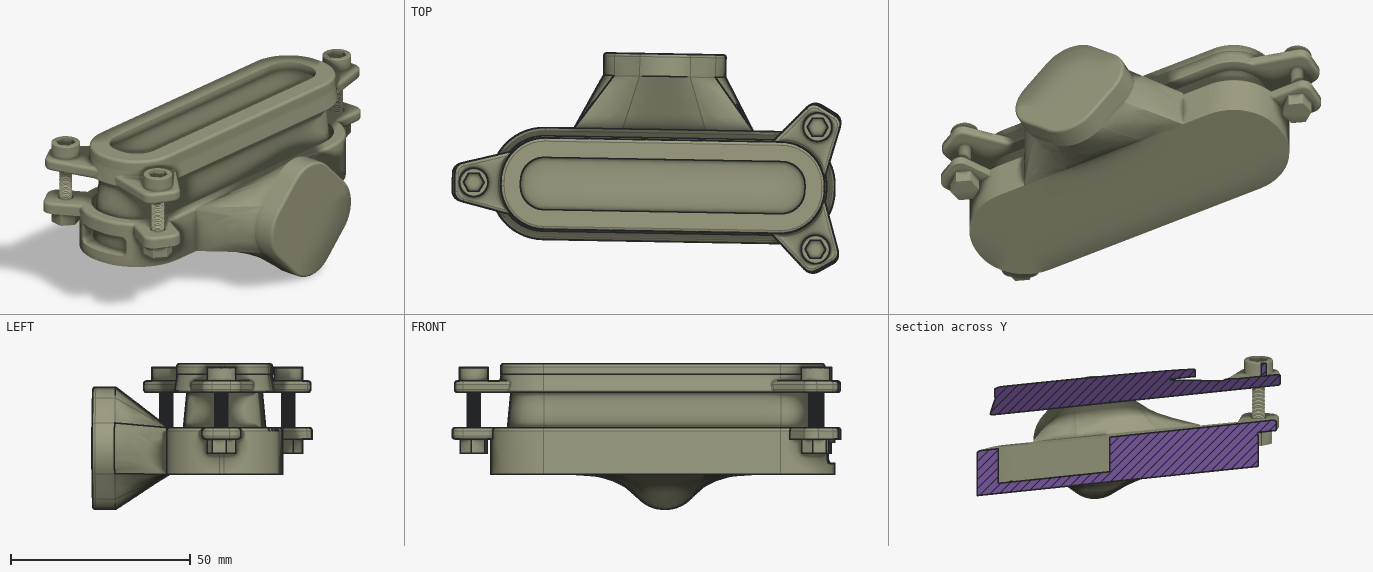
import cadquery as cq
import math

ASSEMBLY_TURN = -1.0
CORNER_X = 33.1
END_FLAT = 1.3
BOLT_RADIUS = 19.7
BOLT_ANGLES = (180, 60, -60)

HOUSING_HEIGHT = 13.05
HOUSING_FLOOR = 3.05
COVER_BOTTOM = 22.9
COVER_SKIRT_HEIGHT = 5.0
COVER_RIM_HEIGHT = 3.02
TAB_THICKNESS = 3.2
EDGE_RADIUS = 0.9
LEVEL_TOLERANCE = 0.001

HOUSING_HALF_WIDTH = 15.65
CAVITY_HALF_WIDTH = 12.35
SEAL_BOTTOM_HALF_WIDTH = 11.85
SEAL_TOP_HALF_WIDTH = 9.95
SKIRT_BOTTOM_HALF_WIDTH = 13.4
SKIRT_TOP_HALF_WIDTH = 12.65
RIM_HALF_WIDTH = 12.8
POCKET_HALF_WIDTH = 7.3
POCKET_DEPTH = 2.5

TAB_ROOT = 6.0
TAB_CORNER_RADIUS = 3.0
TAB_ROOT_RADIUS = 0.6
COVER_TAB_REACH = 5.3
COVER_TAB_TIP_HALF_WIDTH = 4.9
COVER_TAB_FLARE = 14.0
HOUSING_LEFT_TAB_REACH = 5.95
HOUSING_RIGHT_TAB_REACH = 5.85
HOUSING_TAB_HALF_WIDTH = 5.35
BOLT_HOLE_DIAMETER = 4.4

WINDOW_WIDTH = 16.3
WINDOW_HEIGHT = 5.9
WINDOW_CORNER_RADIUS = 1.5

SPOUT_BASE_HALF_WIDTH = 25.0
SPOUT_BASE_BREAK = 11.6
SPOUT_CENTRE_Z = 7.3
COLLAR_SIDE = 30.0
COLLAR_CORNER_RADIUS = 10.0
COLLAR_START_Y = 30.5
COLLAR_END_Y = 36.8
COLLAR_EDGE_RADIUS = 0.8

HEAD_DIAMETER = 8.0
HEAD_HEIGHT = 3.8
HEAD_EDGE_RADIUS = 0.25
SOCKET_CORNER_DIAMETER = 5.8
SOCKET_DEPTH = 2.5
THREAD_DIAMETER = 3.6
THREAD_PITCH = 0.4
THREAD_DEPTH = 0.25
NUT_CORNER_DIAMETER = 8.08
NUT_THICKNESS = 4.0
NUT_TURN = 21.0


def oblong(half_width, z):
    """Oblong outline at height z; all outlines share the same corner centres."""
    corner_radius = half_width - END_FLAT / 2
    half_length = CORNER_X + corner_radius
    sketch = cq.Sketch().rect(2 * half_length, 2 * half_width).vertices().fillet(corner_radius)
    return cq.Workplane("XY").workplane(offset=z).placeSketch(sketch)


def tapered_oblong(bottom_half_width, top_half_width, z, height):
    taper = math.degrees(math.atan2(bottom_half_width - top_half_width, height))
    return oblong(bottom_half_width, z).extrude(height, taper=taper)


def end_centre(angle):
    return math.copysign(CORNER_X, math.cos(math.radians(angle)))


def place_at_end(shape, angle):
    """Move a shape built along +X from the origin onto its rounded end."""
    return shape.rotate((0, 0, 0), (0, 0, 1), angle).translate((end_centre(angle), 0, 0))


def tab(reach, tip_half_width, flare, bottom_z, rounded_faces):
    """Lug along +X with rounded tip corners, rounded rims."""
    tip = BOLT_RADIUS + reach
    root_half_width = tip_half_width + (tip - TAB_ROOT) * math.tan(math.radians(flare))
    outline = [
        (TAB_ROOT, -root_half_width),
        (tip, -tip_half_width),
        (tip, tip_half_width),
        (TAB_ROOT, root_half_width),
    ]
    lug = cq.Workplane("XY").workplane(offset=bottom_z).polyline(outline).close().extrude(TAB_THICKNESS)
    lug = lug.edges("|Z and >X").fillet(TAB_CORNER_RADIUS)
    for face in rounded_faces:
        lug = lug.faces(face).edges().fillet(EDGE_RADIUS)
    return lug


def bolt_holes(bottom_z, height):
    holes = cq.Workplane("XY")
    for angle in BOLT_ANGLES:
        hole = cq.Workplane("XY").workplane(offset=bottom_z).center(BOLT_RADIUS, 0)
        hole = hole.circle(BOLT_HOLE_DIAMETER / 2).extrude(height)
        holes = holes.add(place_at_end(hole, angle))
    return holes.combine()


def collar_wire(y):
    """Square on its corner, rounded, in the plane at y; eight edges from the right arc on."""
    side_reach = (COLLAR_SIDE / 2 - COLLAR_CORNER_RADIUS) * math.sqrt(2)
    lean = COLLAR_CORNER_RADIUS / math.sqrt(2)
    far = side_reach + lean
    crown = side_reach + COLLAR_CORNER_RADIUS

    def point(x, z):
        return cq.Vector(x, y, SPOUT_CENTRE_Z + z)

    arc = cq.Edge.makeThreePointArc
    line = cq.Edge.makeLine
    return cq.Wire.assembleEdges([
        arc(point(far, -lean), point(crown, 0), point(far, lean)),
        line(point(far, lean), point(lean, far)),
        arc(point(lean, far), point(0, crown), point(-lean, far)),
        line(point(-lean, far), point(-far, lean)),
        arc(point(-far, lean), point(-crown, 0), point(-far, -lean)),
        line(point(-far, -lean), point(-lean, -far)),
        arc(point(-lean, -far), point(0, -crown), point(lean, -far)),
        line(point(lean, -far), point(far, -lean)),
    ])


def spout_base_wire(y):
    """Rectangle on the housing wall, split to match the eight edges of the collar."""
    corners = [
        (SPOUT_BASE_HALF_WIDTH, 0),
        (SPOUT_BASE_HALF_WIDTH, HOUSING_HEIGHT),
        (SPOUT_BASE_BREAK, HOUSING_HEIGHT),
        (-SPOUT_BASE_BREAK, HOUSING_HEIGHT),
        (-SPOUT_BASE_HALF_WIDTH, HOUSING_HEIGHT),
        (-SPOUT_BASE_HALF_WIDTH, 0),
        (-SPOUT_BASE_BREAK, 0),
        (SPOUT_BASE_BREAK, 0),
    ]
    return cq.Wire.makePolygon([cq.Vector(x, y, z) for x, z in corners], close=True)


def spout():
    funnel = cq.Solid.makeLoft([spout_base_wire(HOUSING_HALF_WIDTH), collar_wire(COLLAR_START_Y)], True)
    collar_length = COLLAR_END_Y - COLLAR_START_Y
    collar = cq.Solid.extrudeLinear(collar_wire(COLLAR_START_Y), [], cq.Vector(0, collar_length, 0))
    collar = cq.Workplane(collar).faces(">Y").edges().fillet(COLLAR_EDGE_RADIUS)
    return collar.union(cq.Workplane(funnel))


def end_window():
    """Rounded rectangular cutter through the +X end wall, standing on the cavity floor."""
    window = cq.Workplane("XY").box(
        HOUSING_HALF_WIDTH, WINDOW_WIDTH, WINDOW_HEIGHT, centered=(False, True, False)
    )
    window = window.edges("|X").fillet(WINDOW_CORNER_RADIUS)
    return window.translate((CORNER_X, 0, HOUSING_FLOOR))


def build_housing():
    body = oblong(HOUSING_HALF_WIDTH, 0).extrude(HOUSING_HEIGHT)
    body = body.faces(">Z").edges().fillet(EDGE_RADIUS)
    tab_bottom = HOUSING_HEIGHT - TAB_THICKNESS
    for angle in BOLT_ANGLES:
        is_left = angle == 180
        reach = HOUSING_LEFT_TAB_REACH if is_left else HOUSING_RIGHT_TAB_REACH
        rounded_faces = (">Z", "<Z") if is_left else (">Z",)
        lug = tab(reach, HOUSING_TAB_HALF_WIDTH, 0, tab_bottom, rounded_faces)
        body = body.union(place_at_end(lug, angle))
    body = body.union(spout())
    cavity = oblong(CAVITY_HALF_WIDTH, HOUSING_FLOOR).extrude(HOUSING_HEIGHT - HOUSING_FLOOR)
    body = body.cut(cavity).cut(end_window())
    return body.cut(bolt_holes(tab_bottom, TAB_THICKNESS))


def build_seal():
    height = COVER_BOTTOM - HOUSING_FLOOR
    return tapered_oblong(SEAL_BOTTOM_HALF_WIDTH, SEAL_TOP_HALF_WIDTH, HOUSING_FLOOR, height)


def is_tab_root(edge):
    """True for the edges where the top of a cover tab meets the skirt wall."""
    box = edge.BoundingBox()
    tab_top = COVER_BOTTOM + TAB_THICKNESS
    lies_on_top = max(abs(box.zmin - tab_top), abs(box.zmax - tab_top)) < LEVEL_TOLERANCE
    middle = edge.Center()
    end_distance = math.hypot(abs(middle.x) - CORNER_X, middle.y)
    return lies_on_top and end_distance < SKIRT_BOTTOM_HALF_WIDTH


def build_cover():
    rim_bottom = COVER_BOTTOM + COVER_SKIRT_HEIGHT
    rim_top = rim_bottom + COVER_RIM_HEIGHT
    skirt = tapered_oblong(
        SKIRT_BOTTOM_HALF_WIDTH, SKIRT_TOP_HALF_WIDTH, COVER_BOTTOM, COVER_SKIRT_HEIGHT
    )
    skirt = skirt.faces("<Z").edges().fillet(EDGE_RADIUS / 2)
    for angle in BOLT_ANGLES:
        lug = tab(COVER_TAB_REACH, COVER_TAB_TIP_HALF_WIDTH, COVER_TAB_FLARE, COVER_BOTTOM, (">Z", "<Z"))
        skirt = skirt.union(place_at_end(lug, angle))
    skirt = skirt.edges().filter(is_tab_root).fillet(TAB_ROOT_RADIUS)
    rim = oblong(RIM_HALF_WIDTH, rim_bottom).extrude(COVER_RIM_HEIGHT)
    rim = rim.faces(">Z").edges().fillet(EDGE_RADIUS)
    pocket = oblong(POCKET_HALF_WIDTH, rim_top - POCKET_DEPTH).extrude(POCKET_DEPTH)
    cover = skirt.union(rim).cut(pocket)
    return cover.cut(bolt_holes(COVER_BOTTOM, TAB_THICKNESS))


def threaded_shank(bottom_z, top_z):
    """Shank with a stack of V ridges."""
    crest = THREAD_DIAMETER / 2
    root = crest - THREAD_DEPTH
    ridge_count = round((top_z - bottom_z) / THREAD_PITCH)
    pitch = (top_z - bottom_z) / ridge_count
    profile = [(0, bottom_z), (root, bottom_z)]
    for ridge in range(ridge_count):
        start = bottom_z + ridge * pitch
        profile += [(crest, start + pitch / 2), (root, start + pitch)]
    profile.append((0, top_z))
    shank = cq.Workplane("XZ").polyline(profile).close()
    return shank.revolve(360, (0, 0, 0), (0, 1, 0))


def build_fastener():
    head_bottom = COVER_BOTTOM + TAB_THICKNESS
    nut_top = HOUSING_HEIGHT - TAB_THICKNESS
    head = cq.Workplane("XY").circle(HEAD_DIAMETER / 2).extrude(HEAD_HEIGHT)
    head = head.faces(">Z").edges().fillet(HEAD_EDGE_RADIUS)
    head = head.faces(">Z").workplane().polygon(6, SOCKET_CORNER_DIAMETER).cutBlind(-SOCKET_DEPTH)
    head = head.translate((0, 0, head_bottom))
    nut = cq.Workplane("XY").polygon(6, NUT_CORNER_DIAMETER).extrude(-NUT_THICKNESS)
    nut = nut.rotate((0, 0, 0), (0, 0, 1), NUT_TURN).translate((0, 0, nut_top))
    return threaded_shank(nut_top, head_bottom).union(head).union(nut)


def turn(body):
    return body.rotate((0, 0, 0), (0, 0, 1), ASSEMBLY_TURN)


housing = turn(build_housing())
seal = turn(build_seal())
cover = turn(build_cover())

fastener = build_fastener()
fasteners = cq.Workplane("XY")
for bolt_angle in BOLT_ANGLES:
    direction = math.radians(bolt_angle)
    bolt_x = end_centre(bolt_angle) + BOLT_RADIUS * math.cos(direction)
    bolt_y = BOLT_RADIUS * math.sin(direction)
    fasteners = fasteners.add(turn(fastener.translate((bolt_x, bolt_y, 0))))

result = cq.Compound.makeCompound([housing.val(), seal.val(), cover.val(), *fasteners.vals()])